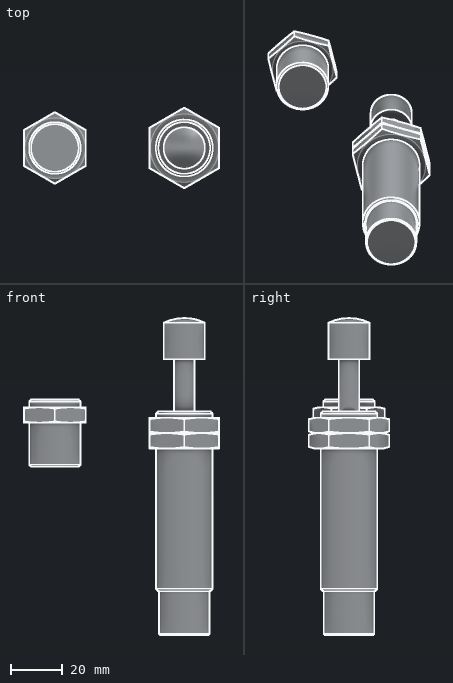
import cadquery as cq
import math

HOUSING_DIAMETER = 22.0
HOUSING_LENGTH = 86.5
TAIL_DIAMETER = 19.6
TAIL_LENGTH = 17.0
FRONT_CHAMFER = 1.0
TAIL_CHAMFER = 0.5
ROD_DIAMETER = 8.0
STROKE = 20.0
BUTTON_DIAMETER = 16.0
BUTTON_HEIGHT = 16.0
DOME_SPHERE_RADIUS = 18.0

STUD_DIAMETER = 20.0
STUD_LENGTH = 26.0
STUD_TOP = 4.5
STUD_OFFSET = 50.0

THREAD_PITCH = 1.5
THREAD_DEPTH_PER_PITCH = 0.5413
THREAD_CHAMFER = THREAD_PITCH * THREAD_DEPTH_PER_PITCH

NUT_THICKNESS = 6.0
HOUSING_NUT_FLATS = 27.0
STUD_NUT_FLATS = 24.0
HOUSING_NUT_COUNT = 2
HOUSING_NUT_SETBACK = 2.5
STUD_NUT_SETBACK = 3.0
NUT_FACE_RATIO = 0.98
NUT_CHAMFER_ANGLE = 15.0


def make_absorber():
    """Revolve the housing, the rod and the domed button as one body."""
    housing_radius = HOUSING_DIAMETER / 2
    tail_radius = TAIL_DIAMETER / 2
    rod_radius = ROD_DIAMETER / 2
    button_radius = BUTTON_DIAMETER / 2

    tail_end = -HOUSING_LENGTH
    shoulder = tail_end + TAIL_LENGTH
    button_top = STROKE + BUTTON_HEIGHT

    rim_angle = math.asin(button_radius / DOME_SPHERE_RADIUS)
    middle_angle = rim_angle / 2
    dome_base = button_top - DOME_SPHERE_RADIUS * (1 - math.cos(rim_angle))
    dome_middle_radius = DOME_SPHERE_RADIUS * math.sin(middle_angle)
    dome_middle_height = button_top - DOME_SPHERE_RADIUS * (1 - math.cos(middle_angle))

    profile = (
        cq.Workplane("XZ")
        .moveTo(0, tail_end)
        .lineTo(tail_radius - TAIL_CHAMFER, tail_end)
        .lineTo(tail_radius, tail_end + TAIL_CHAMFER)
        .lineTo(tail_radius, shoulder)
        .lineTo(housing_radius - THREAD_CHAMFER, shoulder)
        .lineTo(housing_radius, shoulder + THREAD_CHAMFER)
        .lineTo(housing_radius, -FRONT_CHAMFER)
        .lineTo(housing_radius - FRONT_CHAMFER, 0)
        .lineTo(rod_radius, 0)
        .lineTo(rod_radius, STROKE)
        .lineTo(button_radius, STROKE)
        .lineTo(button_radius, dome_base)
        .threePointArc((dome_middle_radius, dome_middle_height), (0, button_top))
        .close()
    )
    return profile.revolve(360, (0, 0, 0), (0, 1, 0))


def make_stud():
    """Make the stop stud, chamfered at both ends."""
    return (
        cq.Workplane("XY", origin=(-STUD_OFFSET, 0, STUD_TOP - STUD_LENGTH))
        .circle(STUD_DIAMETER / 2)
        .extrude(STUD_LENGTH)
        .faces("<Z or >Z")
        .chamfer(THREAD_CHAMFER)
    )


def make_nut(flats, bore, x, top):
    """Make a hexagon nut with corners on the Y axis and conical chamfers on both faces."""
    corner_radius = flats / math.sqrt(3)
    face_radius = NUT_FACE_RATIO * flats / 2
    corner_drop = (corner_radius - face_radius) * math.tan(math.radians(NUT_CHAMFER_ANGLE))

    hexagon = (
        cq.Workplane("XY")
        .polygon(6, 2 * corner_radius)
        .extrude(NUT_THICKNESS)
        .rotate((0, 0, 0), (0, 0, 1), 30)
    )
    chamfer_envelope = (
        cq.Workplane("XZ")
        .moveTo(0, 0)
        .lineTo(face_radius, 0)
        .lineTo(corner_radius, corner_drop)
        .lineTo(corner_radius, NUT_THICKNESS - corner_drop)
        .lineTo(face_radius, NUT_THICKNESS)
        .lineTo(0, NUT_THICKNESS)
        .close()
        .revolve(360, (0, 0, 0), (0, 1, 0))
    )
    bore_tool = cq.Workplane("XY").circle(bore / 2).extrude(NUT_THICKNESS)
    nut = hexagon.intersect(chamfer_envelope).cut(bore_tool)
    return nut.translate((x, 0, top - NUT_THICKNESS))


absorber = make_absorber()
stud = make_stud()

housing_nuts = []
for index in range(HOUSING_NUT_COUNT):
    nut_top = -HOUSING_NUT_SETBACK - index * NUT_THICKNESS
    housing_nuts.append(make_nut(HOUSING_NUT_FLATS, HOUSING_DIAMETER, 0, nut_top))

stud_nut = make_nut(STUD_NUT_FLATS, STUD_DIAMETER, -STUD_OFFSET, STUD_TOP - STUD_NUT_SETBACK)

result = cq.Compound.makeCompound(
    [
        absorber.val(),
        *[nut.val() for nut in housing_nuts],
        stud.val(),
        stud_nut.val(),
    ]
)